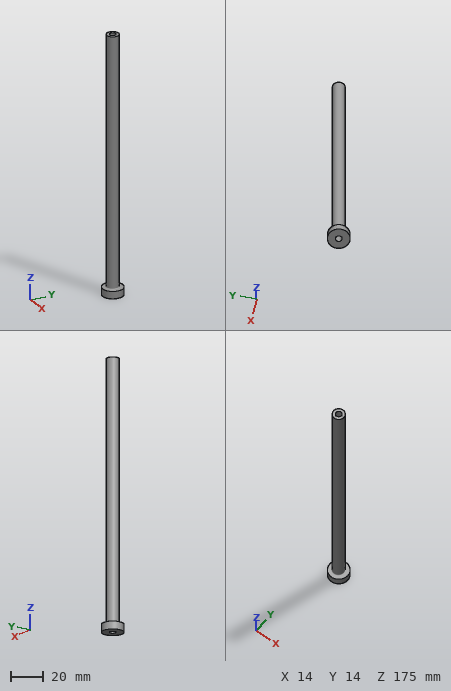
import cadquery as cq

total_length = 175.0
head_diameter = 14.0
head_height = 5.0
shaft_diameter = 8.0
bore_diameter = 4.0
neck_fillet = 0.5

head_radius = head_diameter / 2
shaft_radius = shaft_diameter / 2
neck_top = head_height + neck_fillet

profile = (
    cq.Workplane("XZ")
    .lineTo(head_radius, 0)
    .lineTo(head_radius, head_height)
    .lineTo(shaft_radius + neck_fillet, head_height)
    .radiusArc((shaft_radius, neck_top), neck_fillet)
    .lineTo(shaft_radius, total_length)
    .lineTo(0, total_length)
    .close()
)
body = profile.revolve(360, (0, 0, 0), (0, 1, 0))

bore = cq.Workplane("XY").circle(bore_diameter / 2).extrude(total_length)

result = body.cut(bore)